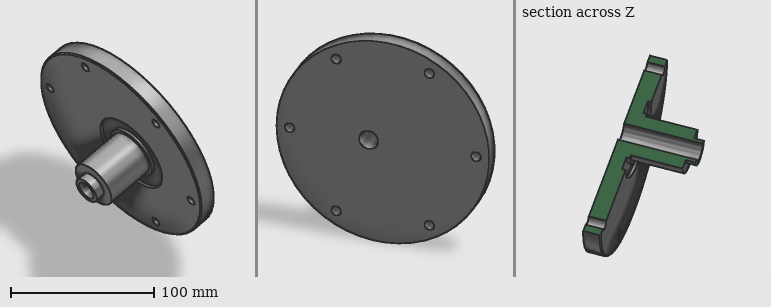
import cadquery as cq

flange_diameter = 157.0
flange_thickness = 13.0
flange_chamfer = 1.0

bolt_circle_diameter = 137.5
bolt_hole_diameter = 7.0
bolt_hole_count = 6

overall_depth = 57.8
shaft_offset = 10.5
shaft_diameter = 35.0
tip_diameter = 20.0
tip_length = 7.0
bore_diameter = 14.0

recess_diameter = 60.5
recess_depth = 2.5
collar_diameter = 39.9

recess_floor = flange_thickness - recess_depth
shaft_end = overall_depth - tip_length


def cylinder(diameter, start, end, x=0.0):
    """Cylinder along -Y between two distances from the back face."""
    base = cq.Workplane("XZ").workplane(offset=start)
    return base.center(x, 0).circle(diameter / 2).extrude(end - start)


flange = cylinder(flange_diameter, 0, flange_thickness).faces("<Y").chamfer(flange_chamfer)

bolt_holes = (
    cq.Workplane("XZ")
    .polarArray(bolt_circle_diameter / 2, 0, 360, bolt_hole_count)
    .circle(bolt_hole_diameter / 2)
    .extrude(flange_thickness)
)
recess = cylinder(recess_diameter, recess_floor, flange_thickness, shaft_offset)
flange = flange.cut(bolt_holes).cut(recess)

collar = cylinder(collar_diameter, recess_floor, flange_thickness, shaft_offset)
shaft = cylinder(shaft_diameter, recess_floor, shaft_end, shaft_offset)
tip = cylinder(tip_diameter, shaft_end, overall_depth, shaft_offset)

bore = cylinder(bore_diameter, 0, overall_depth, shaft_offset)

result = flange.union(collar).union(shaft).union(tip).cut(bore)